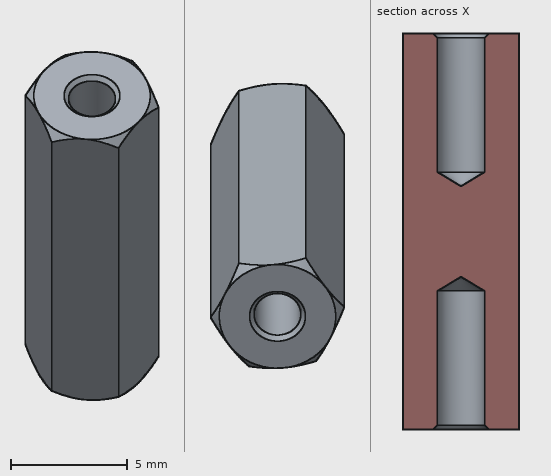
import cadquery as cq
import math

length = 17.0
across_flats = 5.0
across_corners = across_flats / math.cos(math.pi / 6)

end_radius = across_flats / 2
corner_radius = across_corners / 2
chamfer_angle = 45.0
chamfer_height = (corner_radius - end_radius) * math.tan(math.radians(chamfer_angle))

hole_diameter = 2.0
mouth_diameter = 2.4
countersink_depth = (mouth_diameter - hole_diameter) / 2
hole_depth = 5.95
drill_point_angle = 118.0
drill_point_depth = hole_diameter / 2 / math.tan(math.radians(drill_point_angle / 2))


def revolved(profile):
    """Turn a closed (radius, height) profile about the Z axis."""
    return cq.Workplane("XZ").polyline(profile).close().revolve(360, (0, 0), (0, 1))


def hex_bar():
    """Hexagonal bar with corners on the X axis and flats facing Y."""
    return cq.Workplane("XY").polygon(6, across_corners).extrude(length)


def chamfer_envelope():
    """Round envelope that trims the hexagon corners at both ends."""
    return revolved([
        (0, 0),
        (end_radius, 0),
        (corner_radius, chamfer_height),
        (corner_radius, length - chamfer_height),
        (end_radius, length),
        (0, length),
    ])


def blind_hole():
    """Cutter for the top hole, from the countersunk mouth down to the drill point."""
    hole_floor = length - hole_depth
    return revolved([
        (0, length),
        (mouth_diameter / 2, length),
        (hole_diameter / 2, length - countersink_depth),
        (hole_diameter / 2, hole_floor),
        (0, hole_floor - drill_point_depth),
    ])


top_hole = blind_hole()
bottom_hole = top_hole.mirror("XY", (0, 0, length / 2))
result = hex_bar().intersect(chamfer_envelope()).cut(top_hole).cut(bottom_hole)